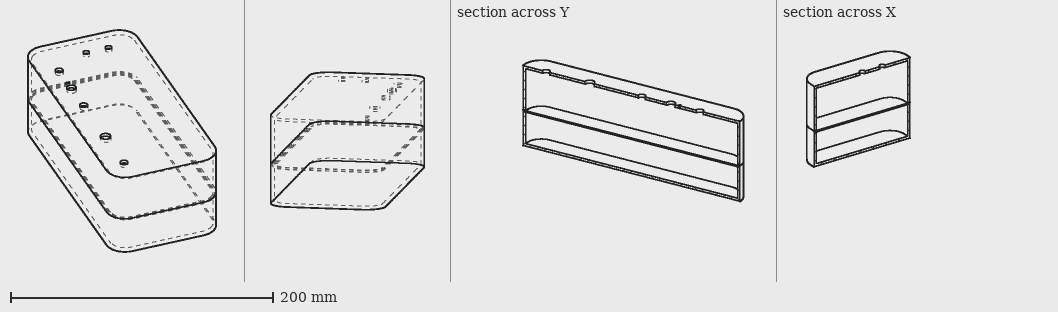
import cadquery as cq

WIDTH = 190.5
DEPTH = 88.9
HEIGHT = 68.71
CORNER_RADIUS = 15.24
WALL = 2.54

COVER_HEIGHT = 38.1
BASE_HEIGHT = HEIGHT - COVER_HEIGHT

BOARD_THICKNESS = 1.6
BOARD_INSET = WALL / 2

FRONT_ROW_Y = -27.94
FRONT_ROW_HOLES = [
    (-59.8, 6.0),
    (-34.4, 7.2),
    (-8.9, 6.0),
    (36.8, 8.0),
    (74.9, 6.0),
]

PAIR_X = -75.0
PAIR_DIAMETER = 4.8
PAIR_Y = [18.6, 0.3]

SLOT_X = -41.9
SLOT_WIDTH = 1.0
SLOT_LENGTH = 3.2


def rounded_block(inset, bottom, height):
    """Block with rounded vertical corners, inset evenly from the outer walls."""
    return (
        cq.Workplane("XY", origin=(0, 0, bottom))
        .rect(WIDTH - 2 * inset, DEPTH - 2 * inset)
        .extrude(height)
        .edges("|Z")
        .fillet(CORNER_RADIUS - inset)
    )


def panel_hole(x, y, diameter):
    """Cutter for a round hole through the top panel."""
    return (
        cq.Workplane("XY", origin=(x, y, HEIGHT - WALL))
        .circle(diameter / 2)
        .extrude(WALL)
    )


def panel_slot():
    """Cutter for the narrow slot through the top panel."""
    return (
        cq.Workplane("XY", origin=(SLOT_X, FRONT_ROW_Y, HEIGHT - WALL))
        .rect(SLOT_WIDTH, SLOT_LENGTH)
        .extrude(WALL)
    )


def make_cover():
    """Upper half: a shell open at the parting plane, with a pierced top panel."""
    cover = rounded_block(0, BASE_HEIGHT, COVER_HEIGHT)
    cover = cover.cut(rounded_block(WALL, BASE_HEIGHT, COVER_HEIGHT - WALL))
    for x, diameter in FRONT_ROW_HOLES:
        cover = cover.cut(panel_hole(x, FRONT_ROW_Y, diameter))
    for y in PAIR_Y:
        cover = cover.cut(panel_hole(PAIR_X, y, PAIR_DIAMETER))
    return cover.cut(panel_slot())


def make_board():
    """Flat board that closes off the base at the parting plane."""
    return rounded_block(BOARD_INSET, BASE_HEIGHT - BOARD_THICKNESS, BOARD_THICKNESS)


def make_base():
    """Lower half: a tray with a stepped rim that holds the board."""
    base = rounded_block(0, 0, BASE_HEIGHT)
    base = base.cut(rounded_block(WALL, WALL, BASE_HEIGHT - WALL))
    return base.cut(make_board())


cover = make_cover()
board = make_board()
base = make_base()

result = cq.Compound.makeCompound([cover.val(), board.val(), base.val()])